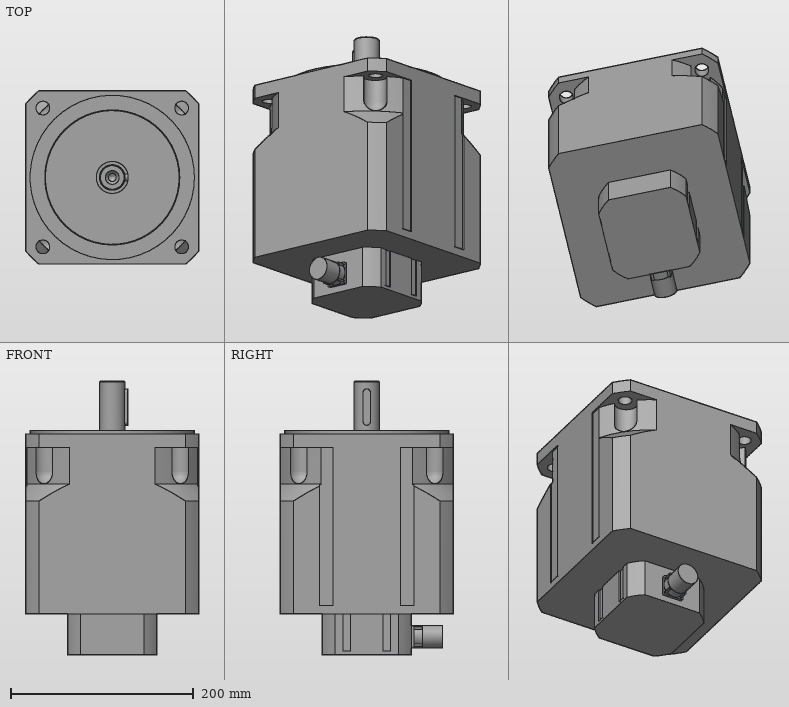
import cadquery as cq
import math



def corner_points(offset):
    """Four points at equal distances from the X and Y axes."""
    return [(x, y) for x in (-offset, offset) for y in (-offset, offset)]


housing_side = 190.0
housing_length = 197.0
housing_corner_diameter = 249.0
flange_thickness = 15.0

pilot_diameter = 180.0
pilot_height = 4.0
recess_top_diameter = 148.0
recess_floor_diameter = 146.5
recess_depth = 5.0
recess_floor_z = pilot_height - recess_depth

bolt_circle_diameter = 215.0
bolt_hole_diameter = 15.0
bolt_offset = bolt_circle_diameter / 2 * math.sin(math.radians(45))
pocket_wall_radius = 106.0
pocket_height = 40.0
pocket_floor_z = -flange_thickness - pocket_height
screw_channel_radius = 13.0
channel_offset = 72.5

strip_depth = 1.5
housing_strip_width = 15.0
housing_strip_spacing = 89.0
housing_strip_end_gap = 9.0

cover_side = 98.0
cover_length = 45.0
cover_corner_diameter = 120.0
cover_bottom_z = -housing_length - cover_length
cover_strip_width = 8.0
cover_strip_spacing = 44.0
cover_strip_end_gap = 4.0

shaft_diameter = 28.0
shaft_length = 58.0
shaft_chamfer = 1.0
shoulder_diameter = 35.0
centre_hole_diameter = 8.7
centre_hole_depth = 25.0
countersink_diameter = 15.0
countersink_depth = 4.5
drill_point_angle = 118.0

key_width = 8.0
key_height = 7.0
key_length = 40.0
key_top_reach = 17.0
key_bottom_z = 9.5

connector_z = -222.2
plate_side = 24.5
plate_corner_radius = 2.0
plate_thickness = 3.0
neck_diameter = 24.5
neck_length = 9.0
barrel_diameter = 25.0
barrel_length = 22.0
plate_screw_diameter = 2.7
plate_screw_spacing = 18.4


def round_cornered_block(side, corner_diameter, top_z, length):
    """Square block whose corners are turned down to a common cylinder."""
    block = cq.Workplane("XY", origin=(0, 0, top_z)).rect(side, side).extrude(-length)
    turned = cq.Workplane("XY", origin=(0, 0, top_z)).circle(corner_diameter / 2).extrude(-length)
    return block.intersect(turned)


def side_strips(block_side, spacing, width, top_z, bottom_z):
    """Cutters for a pair of shallow strips on both X faces of a block."""
    middle_x = block_side / 2 - strip_depth / 2
    centres = [(x, y) for x in (-middle_x, middle_x) for y in (-spacing / 2, spacing / 2)]
    plane = cq.Workplane("XY", origin=(0, 0, bottom_z))
    return plane.pushPoints(centres).rect(strip_depth, width).extrude(top_z - bottom_z)


def corner_pockets():
    """Ring cutter that reaches only the corners; its floor slopes outward at 45 degrees."""
    outer_radius = housing_side / 2 * math.sqrt(2)
    slope_drop = outer_radius - pocket_wall_radius
    profile = [
        (pocket_wall_radius, -flange_thickness),
        (outer_radius, -flange_thickness),
        (outer_radius, pocket_floor_z - slope_drop),
        (pocket_wall_radius, pocket_floor_z),
    ]
    return cq.Workplane("XZ").polyline(profile).close().revolve()


def screw_channels():
    """Round channels with spherical ends that clear the screws below the flange."""
    sphere_z = pocket_floor_z + screw_channel_radius
    channels = (
        cq.Workplane("XY", origin=(0, 0, sphere_z))
        .pushPoints(corner_points(channel_offset))
        .circle(screw_channel_radius)
        .extrude(-flange_thickness - sphere_z)
    )
    ends = (
        cq.Workplane("XY", origin=(0, 0, sphere_z))
        .pushPoints(corner_points(channel_offset))
        .sphere(screw_channel_radius)
    )
    return channels.union(ends)


def pilot_recess():
    """Tapered round recess inside the centring pilot."""
    return (
        cq.Workplane("XY", origin=(0, 0, recess_floor_z))
        .circle(recess_floor_diameter / 2)
        .workplane(offset=recess_depth)
        .circle(recess_top_diameter / 2)
        .loft()
    )


def centre_hole():
    """Countersunk hole in the shaft end, closed by a drill point."""
    hole_radius = centre_hole_diameter / 2
    point_length = hole_radius / math.tan(math.radians(drill_point_angle / 2))
    hole_bottom_z = shaft_length - centre_hole_depth
    profile = [
        (0, shaft_length),
        (countersink_diameter / 2, shaft_length),
        (hole_radius, shaft_length - countersink_depth),
        (hole_radius, hole_bottom_z),
        (0, hole_bottom_z - point_length),
    ]
    return cq.Workplane("XZ").polyline(profile).close().revolve()


def make_shaft():
    """Shaft end with its shoulder, end chamfer and centre hole."""
    shoulder = (
        cq.Workplane("XY", origin=(0, 0, recess_floor_z))
        .circle(shoulder_diameter / 2)
        .extrude(-recess_floor_z)
    )
    shaft = cq.Workplane("XY").circle(shaft_diameter / 2).extrude(shaft_length)
    shaft = shaft.faces(">Z").chamfer(shaft_chamfer)
    return shaft.cut(centre_hole()).union(shoulder)


def make_key():
    """Round-ended key standing in the +X side of the shaft."""
    return (
        cq.Workplane("YZ", origin=(key_top_reach - key_height, 0, key_bottom_z + key_length / 2))
        .slot2D(key_length, key_width, 90)
        .extrude(key_height)
    )


def make_motor():
    """Housing, flange, pilot, shaft and rear cover in one piece."""
    housing = round_cornered_block(housing_side, housing_corner_diameter, 0, housing_length)
    housing = housing.cut(corner_pockets()).cut(screw_channels())
    housing_strip_bottom = -housing_length + housing_strip_end_gap
    housing = housing.cut(
        side_strips(
            housing_side, housing_strip_spacing, housing_strip_width, -flange_thickness, housing_strip_bottom
        )
    )

    bolt_holes = (
        cq.Workplane("XY")
        .pushPoints(corner_points(bolt_offset))
        .circle(bolt_hole_diameter / 2)
        .extrude(-flange_thickness)
    )
    pilot = cq.Workplane("XY").circle(pilot_diameter / 2).extrude(pilot_height)
    housing = housing.cut(bolt_holes).union(pilot).cut(pilot_recess())

    cover = round_cornered_block(cover_side, cover_corner_diameter, -housing_length, cover_length)
    cover_strip_bottom = cover_bottom_z + cover_strip_end_gap
    cover = cover.cut(
        side_strips(cover_side, cover_strip_spacing, cover_strip_width, -housing_length, cover_strip_bottom)
    )
    return housing.union(cover).union(make_shaft()).cut(make_key())


def make_connector():
    """Connector with a square base plate, four plate screws, a neck and a barrel."""
    base = cq.Workplane("XZ", origin=(0, cover_side / 2, connector_z))
    plate = base.rect(plate_side, plate_side).extrude(-plate_thickness)
    plate = plate.edges("|Y").fillet(plate_corner_radius)

    neck_end = plate_thickness + neck_length
    neck = base.circle(neck_diameter / 2).extrude(-neck_end)
    barrel = base.workplane(offset=-neck_end).circle(barrel_diameter / 2).extrude(-barrel_length)
    screws = (
        base.rect(plate_screw_spacing, plate_screw_spacing, forConstruction=True)
        .vertices()
        .circle(plate_screw_diameter / 2)
        .extrude(-neck_end)
    )
    return plate.union(neck).union(barrel).union(screws)


motor = make_motor()
key = make_key()
connector = make_connector()

result = cq.Compound.makeCompound([motor.val(), key.val(), connector.val()])